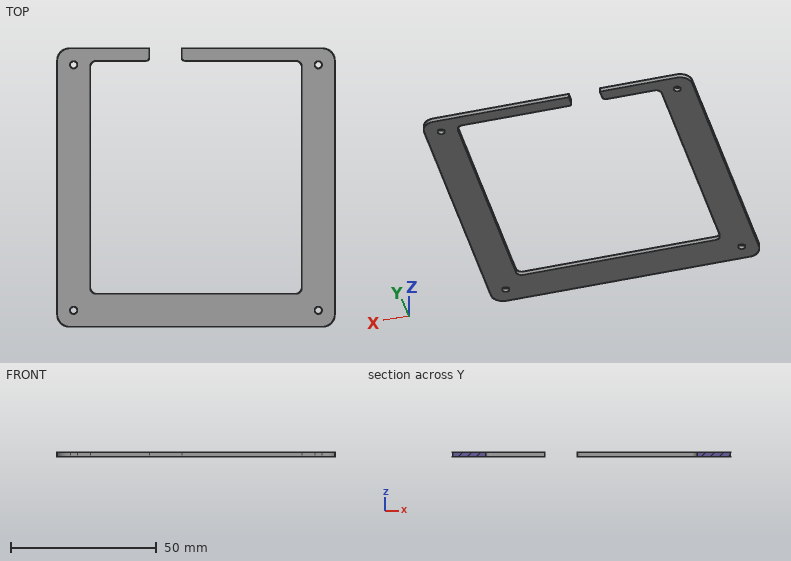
import cadquery as cq

width = 95.45
depth = 95.71
thickness = 1.6
outer_corner_radius = 4.35

side_bar_width = 11.45
front_bar_width = 11.45
back_bar_width = 4.4
window_corner_radius = 2.0

gap_width = 11.0
gap_left_offset = 31.75
gap_corner_radius = 1.2

hole_diameter = 2.4
hole_spacing_x = 84.0
hole_spacing_y = 84.3

window_width = width - 2 * side_bar_width
window_depth = depth - front_bar_width - back_bar_width
window_center_y = (front_bar_width - back_bar_width) / 2
back_edge_y = depth / 2
gap_center_x = -width / 2 + gap_left_offset + gap_width / 2


def make_plate():
    """Flat plate with rounded corners, resting on Z = 0."""
    plate = cq.Workplane("XY").rect(width, depth).extrude(thickness)
    return plate.edges("|Z").fillet(outer_corner_radius)


def make_window():
    """Rounded window that leaves a thinner bar along the back edge."""
    window = (
        cq.Workplane("XY")
        .center(0, window_center_y)
        .rect(window_width, window_depth)
        .extrude(thickness)
    )
    return window.edges("|Z").fillet(window_corner_radius)


def make_gap():
    """Slot from the window out through the back edge of the plate."""
    return (
        cq.Workplane("XY")
        .center(gap_center_x, back_edge_y - back_bar_width)
        .rect(gap_width, 2 * back_bar_width)
        .extrude(thickness)
    )


def make_holes():
    """Four through holes, one near each corner."""
    return (
        cq.Workplane("XY")
        .rect(hole_spacing_x, hole_spacing_y, forConstruction=True)
        .vertices()
        .circle(hole_diameter / 2)
        .extrude(thickness)
    )


def round_gap_corners(frame):
    """Round the two vertical edges where the gap meets the window."""
    for side in (-1, 1):
        corner_x = gap_center_x + side * gap_width / 2
        corner = (corner_x, back_edge_y - back_bar_width, thickness / 2)
        frame = frame.edges(cq.selectors.NearestToPointSelector(corner)).fillet(gap_corner_radius)
    return frame


frame = make_plate().cut(make_window()).cut(make_gap())
result = round_gap_corners(frame).cut(make_holes())